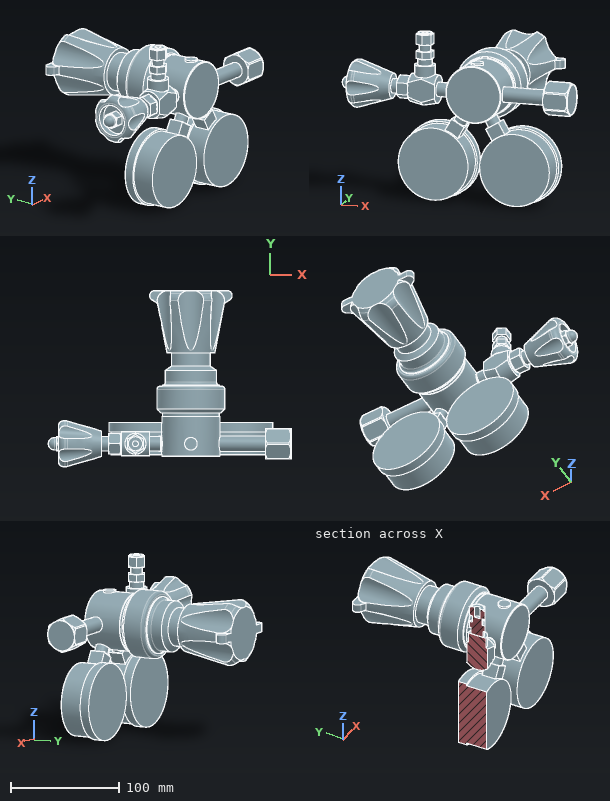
import cadquery as cq
import math


HOUSING_FRONT_Y = -12.0
HOUSING_RADIUS = 27.0
HOUSING_EDGE = 0.7
HOUSING_BACK_Y = 25.2
UNDERCUT_RADIUS = 26.3
BELL_FRONT_Y = 28.4
BELL_BACK_Y = 53.3
BELL_RADIUS = 31.5
BELL_CHAMFER = 3.8
BELL_FILLET = 3.0
BONNET_FOOT_Y = 54.2
BONNET_RADIUS = 23.9
BONNET_FILLET = 2.7
BONNET_SHOULDER_Y = 68.0
STEM_START_Y = 71.8
STEM_RADIUS = 18.0
BUTTON_RADIUS = 5.9
BUTTON_TOP_Z = 28.4

KNOB_NECK_Y = 84.2
KNOB_NECK_RADIUS = 22.3
KNOB_RIM_Y = 132.3
KNOB_RIM_RADIUS = 31.5
KNOB_ROUND_MID = (30.5, 136.2)
KNOB_BEVEL_Y = 139.0
KNOB_BEVEL_RADIUS = 28.4
KNOB_END_Y = 141.8
KNOB_END_RADIUS = 25.0
KNOB_FLUTE_RADIUS = 16.2
KNOB_FLUTE_NECK_Y = 86.6
KNOB_FLUTE_NECK_DEPTH = 22.7
KNOB_FLUTE_END_DEPTH = 24.3

LUG_TIP_RADIUS = 4.7
LUG_CENTRE_X = 33.5
LUG_FLANK_ANGLE = -72.0
LUG_ROOT_X = 30.5
LUG_ROOT_Y = 129.5
LUG_WIDTH = 8.0

FLUTE_COUNT = 6
FLUTE_OVERRUN = 11.3
HEX_HALF_ANGLE = 30.0

DOME_TIP_X = -132.0
DOME_RADIUS = 5.9
CAP_NUT_X = -124.2
CAP_NUT_LENGTH = 10.1
CAP_NUT_CORNER = 7.7
CAP_NUT_CHAMFER = 1.0
WHEEL_END_X = -122.7
WHEEL_RIM_RADIUS = 22.5
WHEEL_ROUND_RADIUS = 6.0
WHEEL_CONE_X = -114.3
WHEEL_CONE_RADIUS = 22.0
WHEEL_NECK_X = -82.5
WHEEL_NECK_RADIUS = 11.7
WHEEL_FLUTE_RADIUS = 8.3
WHEEL_FLUTE_NECK_X = -91.4
WHEEL_FLUTE_NECK_DEPTH = 14.6
WHEEL_FLUTE_END_DEPTH = 19.0
RECESS_RADIUS = 14.5
RECESS_DEPTH = 6.8
SPINDLE_RADIUS = 6.8
GLAND_X = -76.0
GLAND_LENGTH = 10.8
GLAND_CORNER = 11.0
GLAND_CHAMFER = 0.7
GLAND_NECK_RADIUS = 9.0
VALVE_CENTRE_X = -51.3
VALVE_HALF_LENGTH = 13.0
VALVE_MID_RADIUS = 15.8
VALVE_END_RADIUS = 13.0
VALVE_HALF_THICKNESS = 11.3
COLLAR_RADIUS = 9.7
COLLAR_TOP_Z = 22.7
VALVE_TUBE_RADIUS = 6.8
VALVE_TUBE_CHAMFER = 1.1
VALVE_TUBE_END_X = -27.2
SOCKET_BOTTOM = 23.6

FITTING_BASE_RADIUS = 6.8
FITTING_HEX_Z = 28.8
FITTING_HEX_HEIGHT = 7.0
FITTING_CORNER = 8.5
FITTING_TUBE_RADIUS = 5.5
FITTING_NUT_Z = 42.3
FITTING_NUT_HEIGHT = 9.7
FITTING_LIP_RADIUS = 6.5
FITTING_TOP_Z = 53.1
FITTING_BORE_RADIUS = 2.7
FITTING_BORE_DEPTH = 10.8

INLET_TUBE_RADIUS = 7.2
UNION_START_X = 68.9
UNION_END_X = 93.0
UNION_FLAT = 14.2
UNION_CORNER_RADIUS = 16.0
UNION_CHAMFER = 1.5
UNION_LIP = 0.7

GAUGE_ANGLE = 30.0
GAUGE_DISTANCE = 79.7
CASE_RADIUS = 34.2
CASE_FRONT_Y = -10.4
BEZEL_RADIUS = 36.0
BEZEL_START_Y = 10.8
BEZEL_END_Y = 19.8
NECK_SIDE = 14.5
NECK_START = 33.5
GAUGE_STEM_RADIUS = 6.3


def cylinder(plane, origin, radius, length):
    """Cylinder that starts at origin and runs along the normal of the plane."""
    return cq.Workplane(plane, origin=origin).circle(radius).extrude(length)


def hex_prism(plane, origin, corner_radius, length):
    """Hexagonal prism with two of its corners on the local Y axis of the plane."""
    return (
        cq.Workplane(plane, origin=origin)
        .transformed(rotate=(0, 0, HEX_HALF_ANGLE))
        .polygon(6, 2 * corner_radius)
        .extrude(length)
    )


def turned_on_x(points):
    """Solid turned about the X axis from (x, radius) points."""
    outline = cq.Workplane("XY").polyline(points).close()
    return outline.revolve(360, (0, 0, 0), (1, 0, 0))


def hex_nut(start_x, length, hex_corner, turned_radius, chamfer):
    """Hexagonal nut along X, turned down to a cylinder that is chamfered at both ends."""
    end_x = start_x + length
    face_radius = turned_radius - chamfer
    envelope = turned_on_x(
        [
            (start_x, 0),
            (start_x, face_radius),
            (start_x + chamfer, turned_radius),
            (end_x - chamfer, turned_radius),
            (end_x, face_radius),
            (end_x, 0),
        ]
    )
    return hex_prism("YZ", (start_x, 0, 0), hex_corner, length).intersect(envelope)


def make_housing():
    undercut_step = BELL_RADIUS - BELL_CHAMFER
    bell_lip = BELL_RADIUS - BELL_FILLET
    diagonal = math.sqrt(0.5)
    bonnet_foot_radius = BONNET_RADIUS + BONNET_FILLET
    bonnet_side_y = BONNET_FOOT_Y + BONNET_FILLET
    outline = (
        cq.Workplane("XY")
        .moveTo(0, HOUSING_FRONT_Y)
        .lineTo(HOUSING_RADIUS - HOUSING_EDGE, HOUSING_FRONT_Y)
        .lineTo(HOUSING_RADIUS, HOUSING_FRONT_Y + HOUSING_EDGE)
        .lineTo(HOUSING_RADIUS, HOUSING_BACK_Y)
        .lineTo(UNDERCUT_RADIUS, HOUSING_BACK_Y)
        .lineTo(UNDERCUT_RADIUS, BELL_FRONT_Y)
        .lineTo(undercut_step, BELL_FRONT_Y)
        .lineTo(BELL_RADIUS, BELL_FRONT_Y + BELL_CHAMFER)
        .lineTo(BELL_RADIUS, BELL_BACK_Y - BELL_FILLET)
        .threePointArc(
            (bell_lip + BELL_FILLET * diagonal, BELL_BACK_Y - BELL_FILLET * (1 - diagonal)),
            (bell_lip, BELL_BACK_Y),
        )
        .lineTo(bonnet_foot_radius, BELL_BACK_Y)
        .lineTo(bonnet_foot_radius, BONNET_FOOT_Y)
        .threePointArc(
            (bonnet_foot_radius - BONNET_FILLET * diagonal, bonnet_side_y - BONNET_FILLET * diagonal),
            (BONNET_RADIUS, bonnet_side_y),
        )
        .lineTo(BONNET_RADIUS, BONNET_SHOULDER_Y)
        .lineTo(STEM_RADIUS, STEM_START_Y)
        .lineTo(STEM_RADIUS, KNOB_NECK_Y)
        .lineTo(0, KNOB_NECK_Y)
        .close()
    )
    return outline.revolve(360, (0, 0, 0), (0, 1, 0))


def flute_cutter(start_y, start_depth, end_y, end_depth, radius):
    """Cylinder along Y, leaning in the YZ plane, whose lowest line joins the two (y, z) depths."""
    run = end_y - start_y
    rise = end_depth - start_depth
    lean = math.atan2(rise, run)
    axis = cq.Vector(0, math.cos(lean), math.sin(lean))
    centre = cq.Vector(0, start_y - radius * math.sin(lean), start_depth + radius * math.cos(lean))
    start = centre - axis * FLUTE_OVERRUN
    return cq.Workplane(cq.Solid.makeCylinder(radius, math.hypot(run, rise) + 2 * FLUTE_OVERRUN, start, axis))


def make_knob():
    blank = (
        cq.Workplane("XY")
        .moveTo(0, KNOB_NECK_Y)
        .lineTo(KNOB_NECK_RADIUS, KNOB_NECK_Y)
        .lineTo(KNOB_RIM_RADIUS, KNOB_RIM_Y)
        .threePointArc(KNOB_ROUND_MID, (KNOB_BEVEL_RADIUS, KNOB_BEVEL_Y))
        .lineTo(KNOB_END_RADIUS, KNOB_END_Y)
        .lineTo(0, KNOB_END_Y)
        .close()
        .revolve(360, (0, 0, 0), (0, 1, 0))
    )
    cutter = flute_cutter(
        KNOB_FLUTE_NECK_Y, KNOB_FLUTE_NECK_DEPTH, KNOB_END_Y, KNOB_FLUTE_END_DEPTH, KNOB_FLUTE_RADIUS
    )
    for index in range(FLUTE_COUNT):
        blank = blank.cut(cutter.rotate((0, 0, 0), (0, 1, 0), index * 360 / FLUTE_COUNT))
    return blank.union(make_lugs())


def make_lugs():
    """Bar across the knob whose rounded tips stand out as two lugs."""
    tip_centre_y = KNOB_END_Y - LUG_TIP_RADIUS
    lower = math.radians(LUG_FLANK_ANGLE)
    tangent_x = LUG_CENTRE_X + LUG_TIP_RADIUS * math.cos(lower)
    tangent_y = tip_centre_y + LUG_TIP_RADIUS * math.sin(lower)
    half = (
        cq.Workplane("XY", origin=(0, 0, -LUG_WIDTH / 2))
        .moveTo(0, KNOB_END_Y)
        .lineTo(LUG_CENTRE_X, KNOB_END_Y)
        .threePointArc((LUG_CENTRE_X + LUG_TIP_RADIUS, tip_centre_y), (tangent_x, tangent_y))
        .lineTo(LUG_ROOT_X, LUG_ROOT_Y)
        .lineTo(0, LUG_ROOT_Y)
        .close()
        .extrude(LUG_WIDTH)
    )
    return half.union(half.mirror("YZ"))


def make_regulator():
    button = cylinder("XY", (0, 0, 0), BUTTON_RADIUS, BUTTON_TOP_Z)
    return make_housing().union(button).union(make_knob())


def make_handwheel():
    blank = (
        cq.Workplane("XY")
        .moveTo(WHEEL_END_X, 0)
        .lineTo(WHEEL_END_X, WHEEL_RIM_RADIUS - WHEEL_ROUND_RADIUS)
        .tangentArcPoint((WHEEL_END_X + WHEEL_ROUND_RADIUS, WHEEL_RIM_RADIUS), relative=False)
        .tangentArcPoint((WHEEL_CONE_X, WHEEL_CONE_RADIUS), relative=False)
        .lineTo(WHEEL_NECK_X, WHEEL_NECK_RADIUS)
        .lineTo(WHEEL_NECK_X, 0)
        .close()
        .revolve(360, (0, 0, 0), (1, 0, 0))
    )
    cutter = flute_cutter(
        -WHEEL_FLUTE_NECK_X, WHEEL_FLUTE_NECK_DEPTH, -WHEEL_END_X, WHEEL_FLUTE_END_DEPTH, WHEEL_FLUTE_RADIUS
    )
    cutter = cutter.rotate((0, 0, 0), (0, 0, 1), 90).rotate((0, 0, 0), (1, 0, 0), 90)
    for index in range(FLUTE_COUNT):
        blank = blank.cut(cutter.rotate((0, 0, 0), (1, 0, 0), index * 360 / FLUTE_COUNT))
    floor_x = WHEEL_END_X + RECESS_DEPTH
    recess = cylinder("YZ", (WHEEL_END_X, 0, 0), RECESS_RADIUS, RECESS_DEPTH)
    cap_nut = hex_nut(CAP_NUT_X, CAP_NUT_LENGTH, CAP_NUT_CORNER, CAP_NUT_CORNER, CAP_NUT_CHAMFER)
    dome_centre_x = DOME_TIP_X + DOME_RADIUS
    dome = cq.Workplane("XY", origin=(dome_centre_x, 0, 0)).sphere(DOME_RADIUS)
    dome_base = cylinder("YZ", (dome_centre_x, 0, 0), DOME_RADIUS, floor_x - dome_centre_x)
    return blank.cut(recess).union(cap_nut).union(dome_base).union(dome)


def make_valve_body():
    """Double cone about X, widest in the middle, with flat front and back faces."""
    start_x = VALVE_CENTRE_X - VALVE_HALF_LENGTH
    end_x = VALVE_CENTRE_X + VALVE_HALF_LENGTH
    cones = turned_on_x(
        [
            (start_x, 0),
            (start_x, VALVE_END_RADIUS),
            (VALVE_CENTRE_X, VALVE_MID_RADIUS),
            (end_x, VALVE_END_RADIUS),
            (end_x, 0),
        ]
    )
    slab = cq.Workplane("XY", origin=(VALVE_CENTRE_X, 0, 0)).box(
        2 * VALVE_HALF_LENGTH, 2 * VALVE_HALF_THICKNESS, 2 * VALVE_MID_RADIUS
    )
    collar = cylinder("XY", (VALVE_CENTRE_X, 0, 0), COLLAR_RADIUS, COLLAR_TOP_Z)
    return cones.intersect(slab).union(collar)


def make_valve_tube():
    """Tube whose chamfered end narrows to a spigot that sits in the housing."""
    spigot_radius = VALVE_TUBE_RADIUS - VALVE_TUBE_CHAMFER
    return turned_on_x(
        [
            (VALVE_CENTRE_X, 0),
            (VALVE_CENTRE_X, VALVE_TUBE_RADIUS),
            (VALVE_TUBE_END_X - VALVE_TUBE_CHAMFER, VALVE_TUBE_RADIUS),
            (VALVE_TUBE_END_X, spigot_radius),
            (-SOCKET_BOTTOM, spigot_radius),
            (-SOCKET_BOTTOM, 0),
        ]
    )


def make_valve():
    gland_end_x = GLAND_X + GLAND_LENGTH
    gland = hex_nut(GLAND_X, GLAND_LENGTH, GLAND_CORNER, GLAND_CORNER, GLAND_CHAMFER)
    spindle = cylinder("YZ", (WHEEL_NECK_X, 0, 0), SPINDLE_RADIUS, GLAND_X - WHEEL_NECK_X)
    gland_neck = cylinder("YZ", (gland_end_x, 0, 0), GLAND_NECK_RADIUS, VALVE_CENTRE_X - gland_end_x)
    valve = make_valve_body()
    for piece in (make_valve_tube(), gland_neck, gland, spindle, make_handwheel()):
        valve = valve.union(piece)
    return valve


def make_fitting():
    def on_axis(z):
        return (VALVE_CENTRE_X, 0, z)

    hex_top_z = FITTING_HEX_Z + FITTING_HEX_HEIGHT
    nut_top_z = FITTING_NUT_Z + FITTING_NUT_HEIGHT
    base = cylinder("XY", on_axis(COLLAR_TOP_Z), FITTING_BASE_RADIUS, FITTING_HEX_Z - COLLAR_TOP_Z)
    hexagon = hex_prism("XY", on_axis(FITTING_HEX_Z), FITTING_CORNER, FITTING_HEX_HEIGHT)
    tube = cylinder("XY", on_axis(hex_top_z), FITTING_TUBE_RADIUS, FITTING_NUT_Z - hex_top_z)
    nut = hex_prism("XY", on_axis(FITTING_NUT_Z), FITTING_CORNER, FITTING_NUT_HEIGHT)
    lip = cylinder("XY", on_axis(nut_top_z), FITTING_LIP_RADIUS, FITTING_TOP_Z - nut_top_z)
    bore = cylinder("XY", on_axis(FITTING_TOP_Z), FITTING_BORE_RADIUS, -FITTING_BORE_DEPTH)
    return base.union(hexagon).union(tube).union(nut).union(lip).cut(bore)


def make_inlet():
    lip_x = UNION_END_X - UNION_LIP
    corner = UNION_FLAT / math.cos(math.radians(HEX_HALF_ANGLE))
    nut = hex_nut(UNION_START_X, lip_x - UNION_START_X, corner, UNION_CORNER_RADIUS, UNION_CHAMFER)
    lip = cylinder("YZ", (lip_x, 0, 0), UNION_FLAT, UNION_LIP)
    tube = cylinder("YZ", (SOCKET_BOTTOM, 0, 0), INLET_TUBE_RADIUS, UNION_START_X - SOCKET_BOTTOM)
    return tube.union(nut).union(lip)


def make_gauge(side):
    """Gauge hanging below the housing, swung towards +X (side 1) or -X (side -1)."""
    centre = (0, CASE_FRONT_Y, -GAUGE_DISTANCE)
    bezel_centre = (0, BEZEL_START_Y, -GAUGE_DISTANCE)
    case = cylinder("XZ", centre, CASE_RADIUS, CASE_FRONT_Y - BEZEL_START_Y)
    bezel = cylinder("XZ", bezel_centre, BEZEL_RADIUS, BEZEL_START_Y - BEZEL_END_Y)
    neck = (
        cq.Workplane("XY", origin=(0, 0, -NECK_START))
        .rect(NECK_SIDE, NECK_SIDE)
        .extrude(NECK_START - GAUGE_DISTANCE)
    )
    stem = cylinder("XY", (0, 0, -SOCKET_BOTTOM), GAUGE_STEM_RADIUS, SOCKET_BOTTOM - NECK_START)
    gauge = case.union(bezel).union(neck).union(stem)
    return gauge.rotate((0, 0, 0), (0, 1, 0), -side * GAUGE_ANGLE)


fitting = make_fitting()
valve = make_valve()
inlet = make_inlet()
gauges = [make_gauge(side) for side in (-1, 1)]

regulator = make_regulator()
for body in (valve, inlet, *gauges):
    regulator = regulator.cut(body)

result = cq.Compound.makeCompound(
    [regulator.val(), valve.val(), fitting.val(), inlet.val(), *[gauge.val() for gauge in gauges]]
)